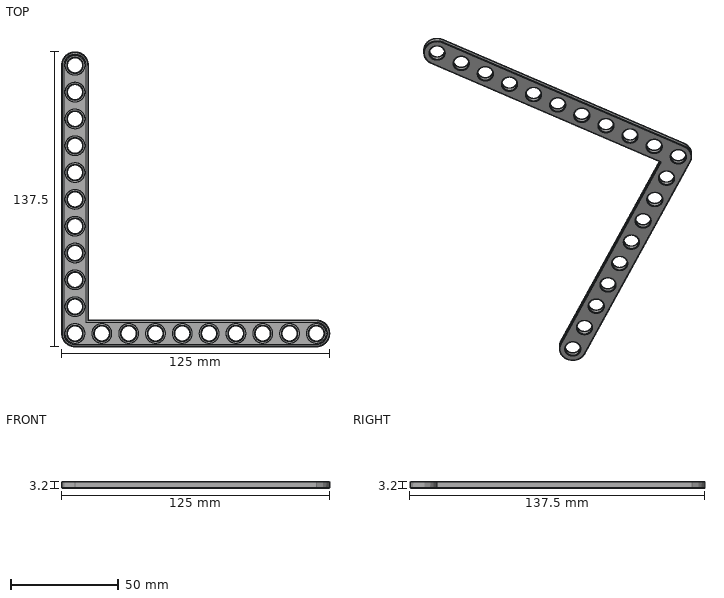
import cadquery as cq

overall_length = 137.5
long_arm_holes = 11
short_arm_holes = 10
thickness = 3.2

pitch = overall_length / long_arm_holes
arm_width = pitch

hole_diameter = 7.0
collar_diameter = 9.2
wall = (collar_diameter - hole_diameter) / 2
recess_depth = 0.2

edge_chamfer = 0.3

long_span = (long_arm_holes - 1) * pitch
short_span = (short_arm_holes - 1) * pitch
hole_centres = [(i * pitch, 0) for i in range(short_arm_holes)]
hole_centres += [(0, i * pitch) for i in range(1, long_arm_holes)]


def angle_bar(width, height):
    """L-shaped bar with round ends, centred on the two rows of holes."""
    short_arm = (
        cq.Workplane("XY")
        .center(short_span / 2, 0)
        .slot2D(short_span + width, width)
        .extrude(height)
    )
    long_arm = (
        cq.Workplane("XY")
        .center(0, long_span / 2)
        .slot2D(long_span + width, width, 90)
        .extrude(height)
    )
    return short_arm.union(long_arm).clean()


def cylinders(diameter, height):
    """One upright cylinder at every hole centre."""
    return cq.Workplane("XY").pushPoints(hole_centres).circle(diameter / 2).extrude(height)


body = (
    angle_bar(arm_width, thickness)
    .cut(cylinders(hole_diameter, thickness))
    .faces("<Z or >Z")
    .edges()
    .chamfer(edge_chamfer)
)

floor_height = thickness - recess_depth
recess = (
    angle_bar(arm_width - 2 * wall, recess_depth)
    .cut(cylinders(collar_diameter, recess_depth))
    .translate((0, 0, floor_height))
)

result = body.cut(recess)